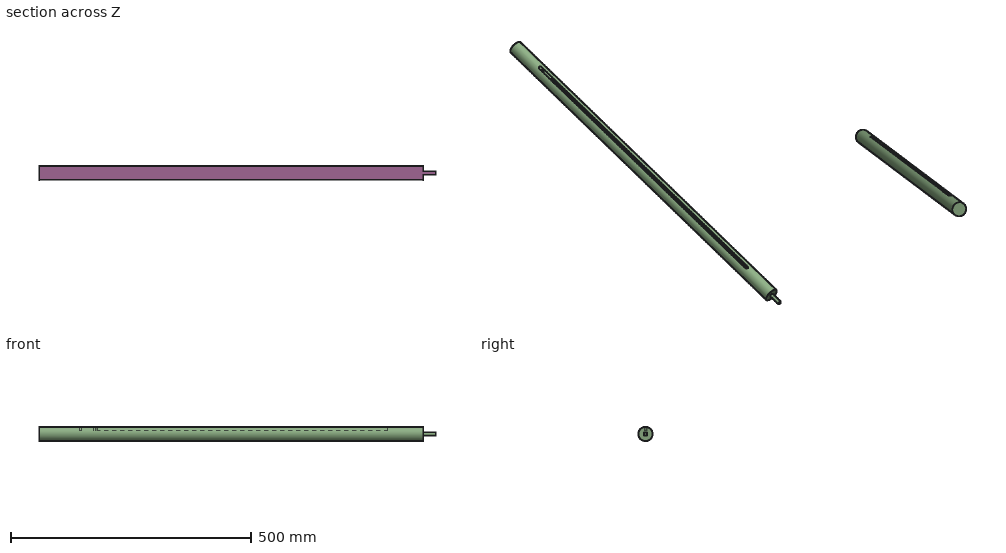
import cadquery as cq

rod_diameter = 30.0
rod_length = 800.0
rod_radius = rod_diameter / 2

pin_diameter = 8.0
pin_length = 26.0
pin_chamfer = 0.7

slot_width = 6.0
slot_length = 650.0
slot_depth = 7.0
corner_radius = 1.0
slot_start = (rod_length - slot_length) / 2
slot_floor = rod_radius - slot_depth

key_length = 46.0
key_recess = 0.6
key_height = slot_depth - key_recess
key_hole_diameter = 4.0
key_hole_spacing = 29.0
first_key_hole_inset = 10.5
first_key_hole = slot_start + first_key_hole_inset


def round_bar(diameter, start, length):
    """Round bar centred on the X axis."""
    return cq.Workplane("YZ", origin=(start, 0, 0)).circle(diameter / 2).extrude(length)


def bar_on_slot_floor(length, height):
    """Round-cornered bar as wide as the slot, standing on its floor from its near end."""
    return (
        cq.Workplane("XY", origin=(slot_start + length / 2, 0, slot_floor))
        .rect(length, slot_width)
        .extrude(height)
        .edges("|Z")
        .fillet(corner_radius)
    )


def make_pin():
    """End pin with a chamfered tip."""
    return round_bar(pin_diameter, rod_length, pin_length).faces(">X").chamfer(pin_chamfer)


def make_key():
    """Key with two holes drilled through it down to the slot floor."""
    holes = (
        cq.Workplane("XY", origin=(first_key_hole, 0, slot_floor))
        .pushPoints([(0, 0), (key_hole_spacing, 0)])
        .circle(key_hole_diameter / 2)
        .extrude(key_height)
    )
    return bar_on_slot_floor(key_length, key_height).cut(holes)


rod = round_bar(rod_diameter, 0, rod_length).union(make_pin())
slotted_rod = rod.cut(bar_on_slot_floor(slot_length, slot_depth))
result = slotted_rod.union(make_key())